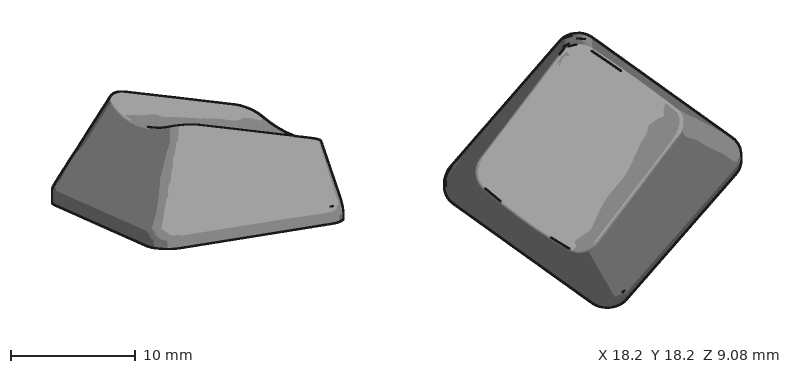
import cadquery as cq
import math

base_side = 18.16
skirt_height = 1.0
corner_radius = 2.0
shoulder_radius = 1.5
rim_radius = 0.25

top_width = 12.14
top_front_y = -5.20
top_front_z = 9.26
top_back_y = 8.65
top_back_z = 5.86
wall_overshoot = 1.3

dish_front_radius = 13.6
dish_front_depth = 1.325
dish_back_radius = 23.0
dish_back_depth = 0.71
dish_half_width = 8.0
dish_headroom = 10.0
dish_overrun = 4.0

tolerance = 0.01

half_side = base_side / 2
top_rise = top_front_z - top_back_z
top_run = top_back_y - top_front_y
top_slope_length = math.hypot(top_run, top_rise)
tilt = math.atan2(top_rise, top_run)


def beyond_top(at_skirt, at_top):
    """Carry a value that changes evenly from skirt to top on to the overshoot level."""
    return at_skirt + (at_top - at_skirt) * wall_overshoot


def rectangle_wire(half_width, front_y, front_z, back_y, back_z):
    """Closed rectangle that may be tilted about the X direction."""
    corners = [
        cq.Vector(-half_width, front_y, front_z),
        cq.Vector(half_width, front_y, front_z),
        cq.Vector(half_width, back_y, back_z),
        cq.Vector(-half_width, back_y, back_z),
    ]
    return cq.Wire.makePolygon(corners, close=True)


def make_walls():
    """Ruled walls from the skirt square to a tilted rectangle above the top."""
    lower = rectangle_wire(half_side, -half_side, skirt_height, half_side, skirt_height)
    upper = rectangle_wire(
        beyond_top(half_side, top_width / 2),
        beyond_top(-half_side, top_front_y),
        beyond_top(skirt_height, top_front_z),
        beyond_top(half_side, top_back_y),
        beyond_top(skirt_height, top_back_z),
    )
    return cq.Workplane(cq.Solid.makeLoft([lower, upper], True))


def make_body():
    """Skirt and walls with rounded corners and a rounded shoulder."""
    skirt = cq.Workplane().rect(base_side, base_side).extrude(skirt_height)
    sharp_body = skirt.union(make_walls())

    blend = cq.occ_impl.shapes.BRepFilletAPI_MakeFillet(sharp_body.val().wrapped)
    for edge in sharp_body.edges().vals():
        box = edge.BoundingBox()
        rises_from_skirt = box.zmin < skirt_height + tolerance and box.zlen > tolerance
        lies_on_shoulder = box.zlen < tolerance and abs(box.zmin - skirt_height) < tolerance
        if rises_from_skirt:
            blend.Add(corner_radius, edge.wrapped)
        elif lies_on_shoulder:
            blend.Add(shoulder_radius, edge.wrapped)
    return cq.Workplane(cq.Shape.cast(blend.Shape()))


def dish_section(distance, radius, depth):
    """Dish outline across the tilt, at a distance forward of the top's back edge."""
    plane = cq.Plane(
        origin=(0, top_back_y, top_back_z),
        xDir=(1, 0, 0),
        normal=(0, -math.cos(tilt), math.sin(tilt)),
    )
    edge_height = radius - math.sqrt(radius**2 - dish_half_width**2) - depth
    outline = (
        cq.Workplane(plane)
        .workplane(offset=distance)
        .moveTo(-dish_half_width, edge_height)
        .threePointArc((0, -depth), (dish_half_width, edge_height))
        .lineTo(dish_half_width, dish_headroom)
        .lineTo(-dish_half_width, dish_headroom)
        .close()
    )
    return outline.val()


def make_dish():
    """Cutter ruled between a flatter back section and a rounder front section."""
    overrun_share = dish_overrun / top_slope_length
    radius_step = (dish_back_radius - dish_front_radius) * overrun_share
    depth_step = (dish_front_depth - dish_back_depth) * overrun_share
    back = dish_section(-dish_overrun, dish_back_radius + radius_step, dish_back_depth - depth_step)
    front = dish_section(
        top_slope_length + dish_overrun,
        dish_front_radius - radius_step,
        dish_front_depth + depth_step,
    )
    return cq.Workplane(cq.Solid.makeLoft([back, front], True))


def cut_dish(body):
    """Hollow the top and round the rim."""
    dished = body.cut(make_dish())
    top_middle = (0, (top_front_y + top_back_y) / 2, (top_front_z + top_back_z) / 2)
    floor = dished.faces(cq.selectors.NearestToPointSelector(top_middle))
    return floor.edges().fillet(rim_radius)


result = cq.Workplane(cut_dish(make_body()).solids().val())